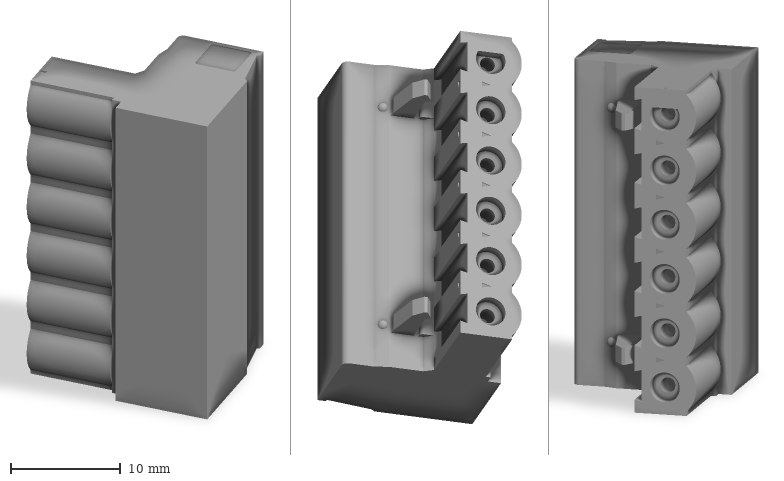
import cadquery as cq

POLES = 6
LENGTH = 30.48
PITCH = LENGTH / POLES
DEPTH_X = 18.2
HEIGHT_Y = 15.0

BLOCK_X = 9.15
NECK_X = 8.25
RECESS_X = 8.8
PLUG_TOP_Y = 6.65
PLUG_BOTTOM_Y = 1.7
NECK_BOTTOM_Y = 1.25
RAMP_TOP_Y = 7.53
RECESS_TOP_Y = 10.8
BLOCK_FRONT_LOW_Y = 12.05
BACK_STEP_LOW_Y = 9.35
BACK_STEP_HIGH_Y = 9.65
BACK_STEP_X = 17.85
LIP_X = 17.4
LIP_BOTTOM_Y = 14.2
LIP_ROOT_X = 17.13
LIP_ROOT_Y = 14.1
TOP_CORNER_RADIUS = 0.58

POLE_Y = 3.75
SLEEVE_RADIUS = 2.95
SOCKET_RADIUS = 1.4
SOCKET_DEPTH = 1.05
PIN_RADIUS = 0.7
PIN_DEPTH = 3.05
FLAT_OFFSET = 0.75

KEYWAY_DEPTH = 0.7
KEYWAY_MOUTH = 2.65
KEYWAY_FLOOR = 3.0

LATCH_WIDTH = 1.6
LATCH_INSET = 3.47
LATCH_UNDERSIDE_Y = 8.45
LATCH_ROOT_Y = 10.55
SHOULDER_X = 8.1
SHOULDER_Y = 10.5
BROW_X = 4.82
BROW_Y = 9.75
NOSE_X = 3.8
NOSE_TOP_Y = 8.9
NOSE_BOTTOM_Y = 8.6
BARB_FRONT_X = 4.6
BARB_BACK_X = 5.0
BARB_HEEL_X = 5.15
BARB_Y = 8.1
LATCH_ROOT_RADIUS = 0.18
FOOT_TOP_Y = 7.92
FOOT_RADIUS = 0.3
BALL_RADIUS = 0.5
BALL_X = 9.1
BALL_Y = 11.28

MARK_DEPTH = 0.1
ARROW_LENGTH = 0.7
ARROW_WIDTH = 0.5
FACE_ARROW_LENGTH = 0.85
PANEL_SIZE = 4.02
PANEL_X = 14.5
PANEL_Y = 12.5
PANEL_RADIUS = 0.27

pole_positions = [PITCH * (i + 0.5) for i in range(POLES)]
boundary_positions = [PITCH * i for i in range(1, POLES)]
latch_positions = [LATCH_INSET, LENGTH - LATCH_INSET - LATCH_WIDTH]


def extrude_z(points, z_start, z_length):
    """Extrude a closed XY polygon along Z."""
    return cq.Workplane("XY").workplane(offset=z_start).polyline(points).close().extrude(z_length)


def extrude_x(points, x_length):
    """Extrude a closed YZ polygon from the plug face along X."""
    return cq.Workplane("YZ").polyline(points).close().extrude(x_length)


def rod(y, z, radius, length):
    """Cylinder along X that starts at the plug face."""
    return cq.Workplane("YZ").center(y, z).circle(radius).extrude(length)


def make_housing():
    outline = [
        (0, PLUG_BOTTOM_Y),
        (NECK_X, PLUG_BOTTOM_Y),
        (NECK_X, NECK_BOTTOM_Y),
        (BLOCK_X, NECK_BOTTOM_Y),
        (BLOCK_X, 0),
        (DEPTH_X, 0),
        (DEPTH_X, BACK_STEP_LOW_Y),
        (BACK_STEP_X, BACK_STEP_HIGH_Y),
        (LIP_ROOT_X, LIP_ROOT_Y),
        (LIP_X, LIP_BOTTOM_Y),
        (LIP_X, HEIGHT_Y),
        (BLOCK_X, HEIGHT_Y),
        (BLOCK_X, BLOCK_FRONT_LOW_Y),
        (RECESS_X, RECESS_TOP_Y),
        (RECESS_X, RAMP_TOP_Y),
        (NECK_X, PLUG_TOP_Y),
        (0, PLUG_TOP_Y),
    ]
    top_corner = cq.selectors.NearestToPointSelector((BLOCK_X, HEIGHT_Y, LENGTH / 2))
    return extrude_z(outline, 0, LENGTH).edges(top_corner).fillet(TOP_CORNER_RADIUS)


def make_sleeve(z):
    """Round barrel of one pole, bulging from the plug underside."""
    plug_space = cq.Workplane("XY").box(NECK_X, PLUG_TOP_Y, LENGTH, centered=False)
    return rod(POLE_Y, z, SLEEVE_RADIUS, NECK_X).intersect(plug_space)


def make_socket(z, has_flat):
    """Stepped bore of one pole; an optional flat truncates its wide part."""
    socket = rod(POLE_Y, z, SOCKET_RADIUS, SOCKET_DEPTH)
    if has_flat:
        keep_height = SOCKET_RADIUS + FLAT_OFFSET
        keep = cq.Workplane("XY").box(
            SOCKET_DEPTH, 2 * SOCKET_RADIUS, keep_height, centered=(False, True, False)
        )
        socket = socket.intersect(keep.translate((0, POLE_Y, z - SOCKET_RADIUS)))
    return socket.union(rod(POLE_Y, z, PIN_RADIUS, PIN_DEPTH))


def make_keyway(z):
    floor_y = PLUG_TOP_Y - KEYWAY_DEPTH
    section = [
        (PLUG_TOP_Y, z - KEYWAY_MOUTH / 2),
        (floor_y, z - KEYWAY_FLOOR / 2),
        (floor_y, z + KEYWAY_FLOOR / 2),
        (PLUG_TOP_Y, z + KEYWAY_MOUTH / 2),
    ]
    return extrude_x(section, NECK_X)


def add_latch(body, z):
    """Add a hooked arm, its foot on the plug and the ball above it."""
    hook = [
        (BLOCK_X, LATCH_UNDERSIDE_Y),
        (BARB_HEEL_X, LATCH_UNDERSIDE_Y),
        (BARB_BACK_X, BARB_Y),
        (BARB_FRONT_X, BARB_Y),
        (NOSE_X, NOSE_BOTTOM_Y),
        (NOSE_X, NOSE_TOP_Y),
        (BROW_X, BROW_Y),
        (SHOULDER_X, SHOULDER_Y),
        (RECESS_X, LATCH_ROOT_Y),
        (BLOCK_X, LATCH_ROOT_Y),
    ]
    foot = [
        (NECK_X, PLUG_TOP_Y),
        (NECK_X, FOOT_TOP_Y),
        (BLOCK_X, FOOT_TOP_Y),
        (BLOCK_X, PLUG_TOP_Y),
    ]
    middle_z = z + LATCH_WIDTH / 2
    foot_corner = cq.selectors.NearestToPointSelector((NECK_X, FOOT_TOP_Y, middle_z))
    foot_solid = extrude_z(foot, z, LATCH_WIDTH).edges(foot_corner).fillet(FOOT_RADIUS)
    body = body.union(extrude_z(hook, z, LATCH_WIDTH)).union(foot_solid)
    for root_y in (LATCH_ROOT_Y, LATCH_UNDERSIDE_Y, FOOT_TOP_Y):
        root_edge = cq.selectors.NearestToPointSelector((RECESS_X, root_y, middle_z))
        body = body.edges(root_edge).fillet(LATCH_ROOT_RADIUS)
    ball = cq.Workplane("XY").sphere(BALL_RADIUS).translate((BALL_X, BALL_Y, middle_z))
    return body.union(ball)


def make_face_arrow(z):
    """Triangle on the plug face, pointing down between two poles."""
    tip_y = POLE_Y
    base_y = tip_y + FACE_ARROW_LENGTH
    section = [(tip_y, z), (base_y, z - ARROW_WIDTH / 2), (base_y, z + ARROW_WIDTH / 2)]
    return extrude_x(section, MARK_DEPTH)


def make_top_arrow(z):
    """Triangle on the plug top at a pole boundary, pointing to the plug face."""
    half_width = ARROW_WIDTH / 2
    outline = [(0, z), (ARROW_LENGTH, z - half_width), (ARROW_LENGTH, z + half_width)]
    arrow = cq.Workplane("XZ", origin=(0, PLUG_TOP_Y, 0)).polyline(outline).close()
    return arrow.extrude(MARK_DEPTH)


def make_end_arrow():
    """Triangle on the end face, pointing to the plug face."""
    half_width = ARROW_WIDTH / 2
    outline = [(0, POLE_Y), (ARROW_LENGTH, POLE_Y - half_width), (ARROW_LENGTH, POLE_Y + half_width)]
    return extrude_z(outline, LENGTH - MARK_DEPTH, MARK_DEPTH)


def make_panel():
    """Shallow rounded-square recess in the end face."""
    panel = cq.Workplane("XY").box(PANEL_SIZE, PANEL_SIZE, MARK_DEPTH, centered=(True, True, False))
    panel = panel.edges("|Z").fillet(PANEL_RADIUS)
    return panel.translate((PANEL_X, PANEL_Y, LENGTH - MARK_DEPTH))


result = make_housing()
for pole_z in pole_positions:
    result = result.union(make_sleeve(pole_z))
for latch_z in latch_positions:
    result = add_latch(result, latch_z)
for pole_z in pole_positions:
    result = result.cut(make_socket(pole_z, has_flat=pole_z == pole_positions[-1]))
    result = result.cut(make_keyway(pole_z))
for boundary_z in boundary_positions:
    result = result.cut(make_face_arrow(boundary_z))
    result = result.cut(make_top_arrow(boundary_z))
result = result.cut(make_end_arrow()).cut(make_panel())